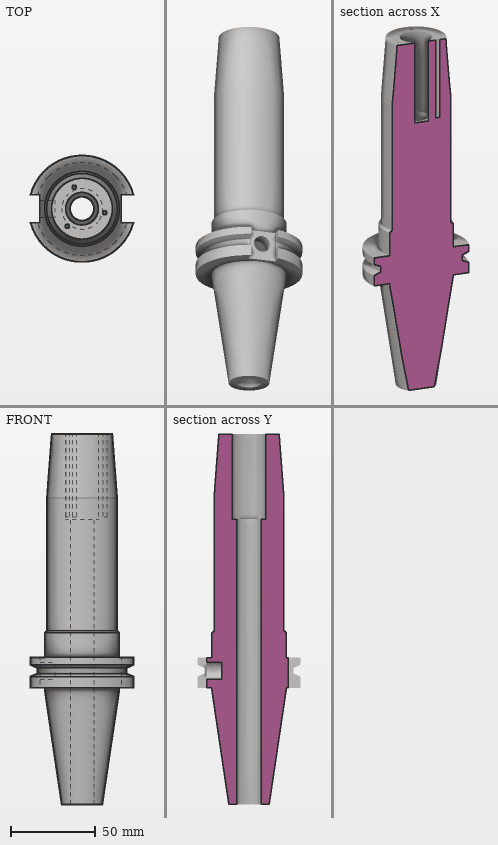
import cadquery as cq
import math

TOTAL_HEIGHT = 220.6
TAPER_TOP = 68.5
FLANGE_BOTTOM = 69.5
FLANGE_TOP = 87.5
GROOVE_CENTER = 79.7
COLLAR_TOP = 102.2
NOSE_BOTTOM = 182.7

TAPER_SMALL_RADIUS = 12.1
COLLAR_RADIUS = 22.3
FLANGE_RADIUS = 31.8
GROOVE_RADIUS = 27.8
BODY_RADIUS = 21.0
NOSE_RADIUS = 18.0

GROOVE_FLOOR_WIDTH = 3.3
GROOVE_RIM_WIDTH = 7.0

SLOT_WIDTH = 16.5
LEFT_SLOT_FLOOR = 25.2
RIGHT_SLOT_FLOOR = 23.4
SLOT_HOLE_DIAMETER = 10.0
SLOT_HOLE_DEPTH = 8.8

TOOL_BORE_DIAMETER = 19.5
TOOL_BORE_DEPTH = 50.7
THROUGH_BORE_DIAMETER = 14.1

COOLANT_ANGLES = (-10, 110, 230)
COOLANT_CIRCLE_RADIUS = 13.7
COOLANT_DIAMETER = 2.5
COOLANT_DEPTH = 49.5


def turned_body():
    """Taper, grooved flange, collar, shank and conical nose as one revolved solid."""
    chamfer = COLLAR_RADIUS - BODY_RADIUS
    outline = [
        (0, 0),
        (TAPER_SMALL_RADIUS, 0),
        (COLLAR_RADIUS, TAPER_TOP),
        (COLLAR_RADIUS, FLANGE_BOTTOM),
        (FLANGE_RADIUS, FLANGE_BOTTOM),
        (FLANGE_RADIUS, GROOVE_CENTER - GROOVE_RIM_WIDTH / 2),
        (GROOVE_RADIUS, GROOVE_CENTER - GROOVE_FLOOR_WIDTH / 2),
        (GROOVE_RADIUS, GROOVE_CENTER + GROOVE_FLOOR_WIDTH / 2),
        (FLANGE_RADIUS, GROOVE_CENTER + GROOVE_RIM_WIDTH / 2),
        (FLANGE_RADIUS, FLANGE_TOP),
        (COLLAR_RADIUS, FLANGE_TOP),
        (COLLAR_RADIUS, COLLAR_TOP),
        (BODY_RADIUS, COLLAR_TOP + chamfer),
        (BODY_RADIUS, NOSE_BOTTOM),
        (NOSE_RADIUS, TOTAL_HEIGHT),
        (0, TOTAL_HEIGHT),
    ]
    return cq.Workplane("XZ").polyline(outline).close().revolve(360, (0, 0), (0, 1))


def central_bore():
    through = cq.Workplane("XY").circle(THROUGH_BORE_DIAMETER / 2).extrude(TOTAL_HEIGHT)
    tool_bore = (
        cq.Workplane("XY", origin=(0, 0, TOTAL_HEIGHT))
        .circle(TOOL_BORE_DIAMETER / 2)
        .extrude(-TOOL_BORE_DEPTH)
    )
    return through.union(tool_bore)


def drive_slot(side, floor):
    """Slot through the flange rim on the side given by the sign of X."""
    height = FLANGE_TOP - FLANGE_BOTTOM
    return (
        cq.Workplane("XY", origin=(side * (floor + FLANGE_RADIUS / 2), 0, FLANGE_BOTTOM))
        .rect(FLANGE_RADIUS, SLOT_WIDTH)
        .extrude(height)
    )


def slot_hole():
    """Blind hole in the floor of the -X slot."""
    return (
        cq.Workplane("YZ", origin=(-LEFT_SLOT_FLOOR, 0, GROOVE_CENTER))
        .circle(SLOT_HOLE_DIAMETER / 2)
        .extrude(SLOT_HOLE_DEPTH)
    )


def coolant_channels():
    """Blind axial holes spaced evenly around the tool bore."""
    centers = []
    for angle in COOLANT_ANGLES:
        turn = math.radians(angle)
        centers.append((COOLANT_CIRCLE_RADIUS * math.cos(turn), COOLANT_CIRCLE_RADIUS * math.sin(turn)))
    return (
        cq.Workplane("XY", origin=(0, 0, TOTAL_HEIGHT))
        .pushPoints(centers)
        .circle(COOLANT_DIAMETER / 2)
        .extrude(-COOLANT_DEPTH)
    )


result = turned_body().cut(central_bore())
result = result.cut(drive_slot(-1, LEFT_SLOT_FLOOR))
result = result.cut(drive_slot(1, RIGHT_SLOT_FLOOR))
result = result.cut(slot_hole())
result = result.cut(coolant_channels())